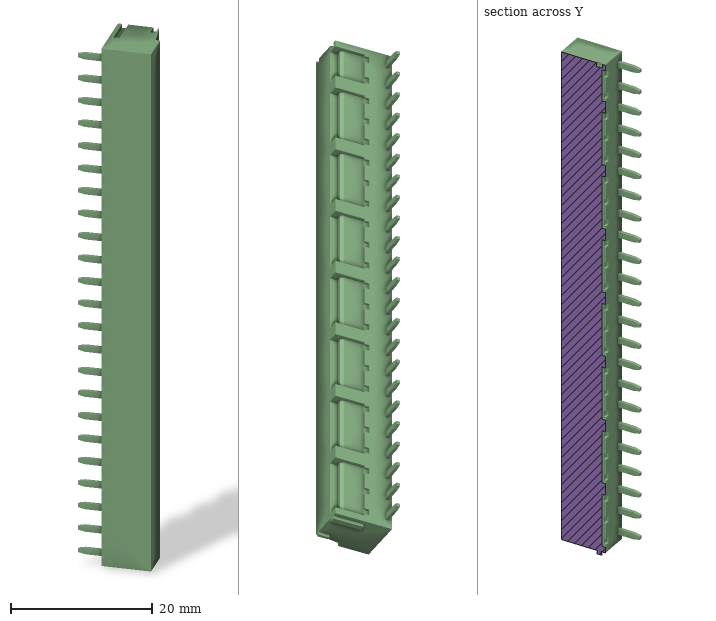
import cadquery as cq
import math

PIN_COUNT = 23
PIN_PITCH = 3.5
PINS_PER_POCKET = 3
BODY_LENGTH = PIN_COUNT * PIN_PITCH

BODY_WIDTH = 7.3
BODY_DEPTH = 9.0
LEDGE_Y = 4.9
SLOPE_FOOT_X = 6.65
SLOPE_TOP_X = 6.05

PIN_LENGTH = 3.6
PIN_TIP_LENGTH = 1.0
PIN_HEIGHT = 0.95
PIN_TIP_HEIGHT = 0.5
PIN_THICKNESS = 0.5
PIN_Y = 0.82

RIB_THICKNESS = 2.0
END_RIB_THICKNESS = RIB_THICKNESS / 2
POCKET_BASE_Y = 4.3
POCKET_DEPTH = 0.6
MOUTH_DEPTH = 1.7
MOUTH_Y = 7.85
LIP_START_Y = 7.35
LIP_DEPTH = 0.9
LIP_RADIUS = 1.0

NOTCH_WIDTH = 0.7
NOTCH_HEIGHT = PIN_HEIGHT
NOTCH_DEPTH = 0.4

TONGUE_HEIGHT = 0.55
TONGUE_FLARE_HEIGHT = 0.35
TONGUE_FLARE = 0.13
GROOVE_DEPTH = 0.6
LONG_JOINT_X = 0.6
LONG_JOINT_WIDTH = 0.9
LONG_JOINT_Y = 4.25
SHORT_JOINT_X = 5.2
SHORT_TONGUE_WIDTH = 0.5
SHORT_GROOVE_WIDTH = 0.75
SHORT_JOINT_Y = 7.3


def make_body():
    """Housing extruded along Z with a sloped flank above the base ledge."""
    outline = [
        (0, 0),
        (BODY_WIDTH, 0),
        (BODY_WIDTH, LEDGE_Y),
        (SLOPE_FOOT_X, LEDGE_Y),
        (SLOPE_TOP_X, BODY_DEPTH),
        (0, BODY_DEPTH),
    ]
    return cq.Workplane("XY").polyline(outline).close().extrude(BODY_LENGTH)


def make_pocket(z_bottom, z_top):
    """Recess in the pin face that steps deeper towards the open face."""
    profile = (
        cq.Workplane("XY")
        .workplane(offset=z_bottom)
        .moveTo(0, POCKET_BASE_Y)
        .lineTo(POCKET_DEPTH, POCKET_BASE_Y)
        .lineTo(POCKET_DEPTH, LIP_START_Y)
        .radiusArc((LIP_DEPTH, MOUTH_Y), LIP_RADIUS)
        .lineTo(MOUTH_DEPTH, MOUTH_Y)
        .lineTo(MOUTH_DEPTH, BODY_DEPTH)
        .lineTo(0, BODY_DEPTH)
        .close()
    )
    return profile.extrude(z_top - z_bottom)


def make_notch(z):
    """Shallow block cut into the pin face just below the base of the pocket."""
    notch = cq.Workplane("XY").box(NOTCH_DEPTH, NOTCH_WIDTH, NOTCH_HEIGHT, centered=(False, False, True))
    return notch.translate((0, POCKET_BASE_Y - NOTCH_WIDTH, z))


def make_pin(z):
    """Flat pin with a tip tapered in Z; its root lies on the pin face."""
    half = PIN_HEIGHT / 2
    tip_half = PIN_TIP_HEIGHT / 2
    shoulder_x = PIN_TIP_LENGTH - PIN_LENGTH
    outline = [
        (0, z - half),
        (shoulder_x, z - half),
        (-PIN_LENGTH, z - tip_half),
        (-PIN_LENGTH, z + tip_half),
        (shoulder_x, z + half),
        (0, z + half),
    ]
    pin = cq.Workplane("XZ").polyline(outline).close().extrude(PIN_THICKNESS / 2, both=True)
    return pin.translate((0, PIN_Y, 0))


def make_tongue(x, width, y):
    """Tongue below the lower end: flared like a dovetail, then straight to its tip."""
    outline = [
        (x + TONGUE_FLARE, 0),
        (x, -TONGUE_FLARE_HEIGHT),
        (x, -TONGUE_HEIGHT),
        (x + width, -TONGUE_HEIGHT),
        (x + width, -TONGUE_FLARE_HEIGHT),
        (x + width - TONGUE_FLARE, 0),
    ]
    tongue = cq.Workplane("XZ").polyline(outline).close().extrude(BODY_DEPTH - y)
    return tongue.translate((0, BODY_DEPTH, 0))


def make_groove(x, width, floor_width, y):
    """Groove in the upper end; its +X wall may lean outwards towards the opening."""
    groove_floor = BODY_LENGTH - GROOVE_DEPTH
    outline = [
        (x, BODY_LENGTH),
        (x, groove_floor),
        (x + floor_width, groove_floor),
        (x + width, BODY_LENGTH),
    ]
    groove = cq.Workplane("XZ").polyline(outline).close().extrude(BODY_DEPTH - y)
    return groove.translate((0, BODY_DEPTH, 0))


result = make_body()

pocket_pitch = PINS_PER_POCKET * PIN_PITCH
pocket_count = math.ceil(PIN_COUNT / PINS_PER_POCKET)
for index in range(pocket_count):
    pocket_bottom = END_RIB_THICKNESS + index * pocket_pitch
    pocket_top = min(pocket_bottom + pocket_pitch - RIB_THICKNESS, BODY_LENGTH - END_RIB_THICKNESS)
    result = result.cut(make_pocket(pocket_bottom, pocket_top))

for index in range(PIN_COUNT):
    pin_z = (index + 0.5) * PIN_PITCH
    result = result.cut(make_notch(pin_z)).union(make_pin(pin_z))

result = result.cut(make_groove(LONG_JOINT_X, LONG_JOINT_WIDTH, LONG_JOINT_WIDTH, LONG_JOINT_Y))
result = result.cut(make_groove(SHORT_JOINT_X, SHORT_GROOVE_WIDTH, SHORT_TONGUE_WIDTH, SHORT_JOINT_Y))
result = result.union(make_tongue(LONG_JOINT_X, LONG_JOINT_WIDTH, LONG_JOINT_Y))
result = result.union(make_tongue(SHORT_JOINT_X, SHORT_TONGUE_WIDTH, SHORT_JOINT_Y))